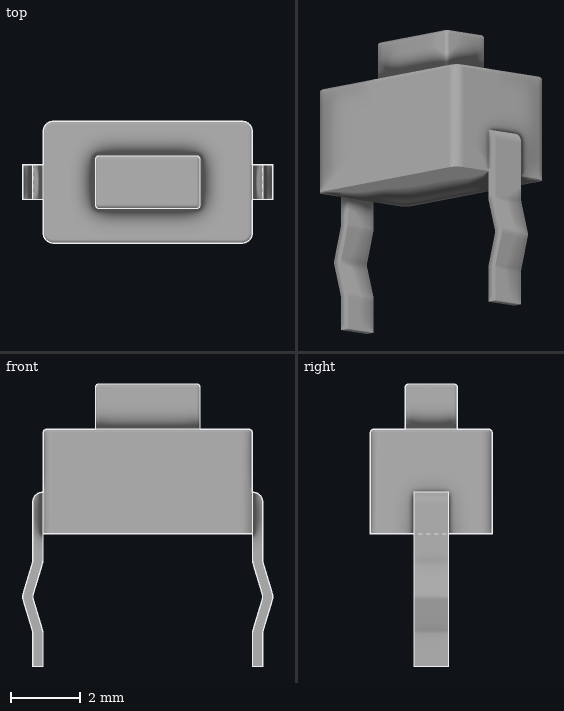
import cadquery as cq

body_length = 6.0
body_width = 3.5
body_height = 3.0
body_corner_radius = 0.3
body_top_radius = 0.1

button_length = 3.0
button_width = 1.5
button_height = 1.3
button_edge_radius = 0.1

lead_thickness = 0.3
lead_width = 1.0
lead_top = 1.2
lead_drop = 3.8
kink_start = 0.8
kink_half_height = 1.0
kink_offset = 0.3
bend_radius = 0.3


def make_body():
    block = cq.Workplane("XY").box(body_length, body_width, body_height, centered=(True, True, False))
    return block.edges("|Z").fillet(body_corner_radius).faces(">Z").edges().fillet(body_top_radius)


def make_button():
    block = (
        cq.Workplane("XY")
        .workplane(offset=body_height)
        .box(button_length, button_width, button_height, centered=(True, True, False))
    )
    return block.edges("|Z or >Z").fillet(button_edge_radius)


def make_lead():
    """Lead on the +X side, flat against the housing, its top rounded over the full thickness."""
    inner_x = body_length / 2
    outer_x = inner_x + lead_thickness
    upper_bend = -kink_start
    apex = upper_bend - kink_half_height
    lower_bend = apex - kink_half_height

    lead = (
        cq.Workplane("XZ")
        .moveTo(inner_x, lead_top)
        .radiusArc((outer_x, lead_top - lead_thickness), lead_thickness)
        .lineTo(outer_x, upper_bend)
        .lineTo(outer_x + kink_offset, apex)
        .lineTo(outer_x, lower_bend)
        .lineTo(outer_x, -lead_drop)
        .lineTo(inner_x, -lead_drop)
        .lineTo(inner_x, lower_bend)
        .lineTo(inner_x + kink_offset, apex)
        .lineTo(inner_x, upper_bend)
        .close()
        .extrude(lead_width / 2, both=True)
    )

    bend_zone = cq.selectors.BoxSelector(
        (0, -lead_width, lower_bend - bend_radius),
        (body_length, lead_width, upper_bend + bend_radius),
    )
    return lead.edges("|Y").edges(bend_zone).fillet(bend_radius)


lead = make_lead()
result = make_body().union(make_button()).union(lead).union(lead.mirror("YZ"))